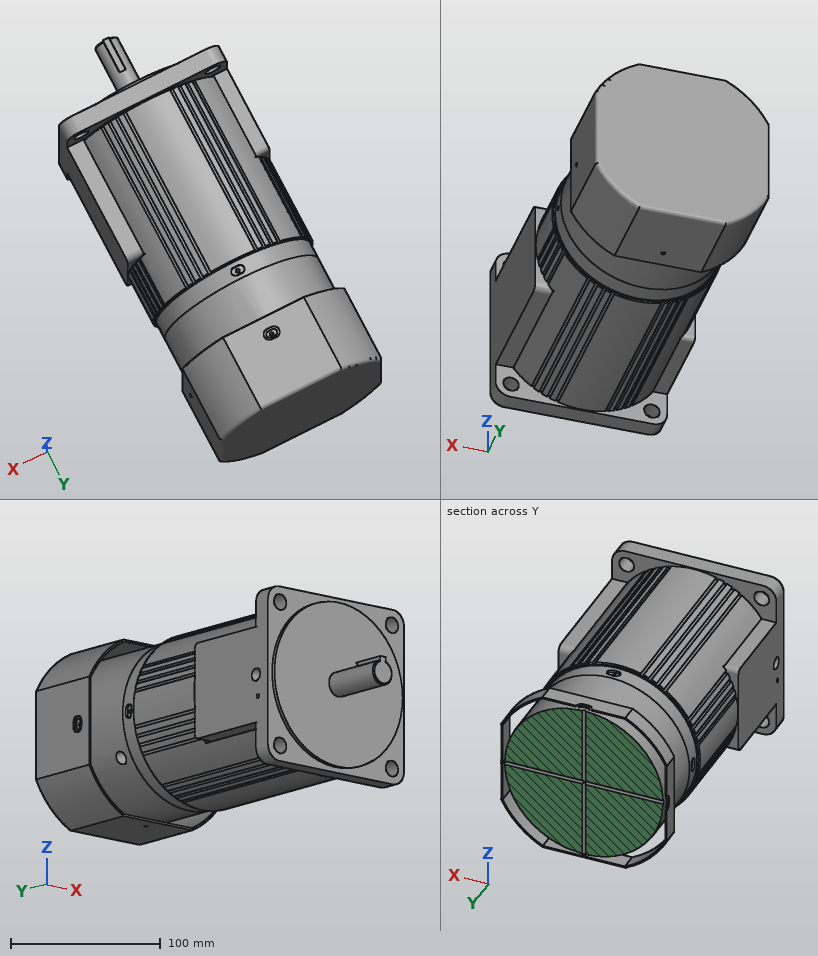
import cadquery as cq


overall_length = 286
shaft_length = 45.5
spigot_length = 2.5
flange_back = 15.0
barrel_back = 141.0
motor_back = 153.3
cover_front = 184.5
cover_back = overall_length - shaft_length

shaft_radius = 17.0 / 2
shaft_chamfer = 1.0
key_width = 4.5
key_length = 25.0
key_top = 11.0
key_end_undercut = 2.0

flange_width = 120
flange_corner_radius = 10.0
spigot_radius = 113.0 / 2
bolt_hole_pitch = 98.7
bolt_hole_diameter = 11.0

barrel_radius = flange_width / 2
barrel_chamfer = 1.0
barrel_gap = 1.0
body_radius = 58.0
groove_radius = 1.0
grooves_per_group = 4
groove_step = 6
first_groove_from_x = 12
first_groove_from_z = 17

left_box_back = 77.2
left_box_height = 65.8
left_box_corner_radius = 3.1
right_box_back = 103.2
right_box_height = 70.4
right_box_corner_radius = 5.0
cable_hole_diameter = 8.5
side_hole_depth = 8.5
earth_hole_y = 13.0
earth_hole_z = -15.2
earth_hole_diameter = 2.5

screw_hole_diameter = 2.5
motor_screw_y = 147.3
motor_slot_length = 9.5
motor_slot_width = 5.7
motor_slot_depth = 1.7
cover_screw_y = 196.8
cover_slot_length = 7.7
cover_slot_width = 4.5
cover_recess_length = 11.2
cover_recess_width = 7.7
cover_recess_depth = 0.72

lead_hole_y = 163.3
lead_hole_angle = 29
lead_hole_diameter = 9.2
lead_hole_depth = 20

cover_width = 121.5
cover_round_radius = 135.8 / 2
cover_fillet = 2.5
cover_wall = 1.5


def cylinder(radius, front, back):
    """Cylinder on the Y axis between two Y positions."""
    return cq.Workplane("XZ", origin=(0, front, 0)).circle(radius).extrude(front - back)


def square_bar(width, front, back):
    """Square bar centred on the Y axis between two Y positions."""
    return cq.Workplane("XZ", origin=(0, front, 0)).rect(width, width).extrude(front - back)


def top_slot(y, length, width, floor):
    """Obround cutter that reaches from floor up through the top; its length runs along X."""
    return cq.Workplane("XY", origin=(0, y, floor)).slot2D(length, width).extrude(cover_width)


def side_slot(y, length, width, floor):
    """The top slot cutter turned to the -X side; its length runs along Z."""
    return top_slot(y, length, width, floor).rotate((0, 0, 0), (0, 1, 0), -90)


def screw_bore_x(y):
    """Screw hole cutter through both sides along X."""
    bore = cq.Workplane("YZ", origin=(0, y, 0)).circle(screw_hole_diameter / 2)
    return bore.extrude(cover_width, both=True)


def screw_bore_z(y):
    """Screw hole cutter from the axis up through the top."""
    return cq.Workplane("XY", origin=(0, y, 0)).circle(screw_hole_diameter / 2).extrude(cover_width)


def make_shaft():
    """Output shaft with its key, whose inner end slopes back under the top."""
    shaft = cylinder(shaft_radius, -shaft_length, spigot_length)
    shaft = shaft.faces("<Y").chamfer(shaft_chamfer)
    key_back = key_length - shaft_length
    key = (
        cq.Workplane("YZ")
        .moveTo(-shaft_length, 0)
        .lineTo(-shaft_length, key_top)
        .lineTo(key_back, key_top)
        .lineTo(key_back - key_end_undercut, shaft_radius)
        .lineTo(key_back - key_end_undercut, 0)
        .close()
        .extrude(key_width / 2, both=True)
    )
    return shaft.union(key)


def make_flange():
    flange = square_bar(flange_width, spigot_length, flange_back).edges("|Y").fillet(flange_corner_radius)
    holes = (
        cq.Workplane("XZ")
        .rect(bolt_hole_pitch, bolt_hole_pitch, forConstruction=True)
        .vertices()
        .circle(bolt_hole_diameter / 2)
        .extrude(-flange_back)
    )
    return flange.cut(holes).union(cylinder(spigot_radius, 0, spigot_length))


def groove_angles():
    """Groove directions in degrees from +X, mirrored into all four quadrants."""
    angles = []
    for number in range(grooves_per_group):
        from_x = first_groove_from_x + number * groove_step
        from_z = first_groove_from_z + number * groove_step
        for angle in (from_x, 90 - from_z):
            angles += [angle, 180 - angle, 180 + angle, -angle]
    return angles


def box_opening(side, back, height):
    """Cutter for the sharp-cornered barrel opening, one gap wider than a terminal box."""
    length = back + barrel_gap - flange_back
    opening = cq.Workplane("XY").box(barrel_radius, length, height + 2 * barrel_gap)
    return opening.translate((side * barrel_radius, flange_back + length / 2, 0))


def make_barrel():
    barrel = cylinder(barrel_radius, flange_back + barrel_gap, barrel_back)
    barrel = barrel.faces(">Y").chamfer(barrel_chamfer)
    groove = cylinder(groove_radius, flange_back, barrel_back).translate((barrel_radius, 0, 0))
    for angle in groove_angles():
        barrel = barrel.cut(groove.rotate((0, 0, 0), (0, 1, 0), angle))
    barrel = barrel.cut(box_opening(-1, left_box_back, left_box_height))
    return barrel.cut(box_opening(1, right_box_back, right_box_height))


def make_terminal_box(side, back, height, corner_radius):
    """Box from the axis out to the flange side; side is -1 for -X and +1 for +X."""
    length = back - spigot_length
    box = (
        cq.Workplane("XY")
        .box(flange_width / 2, length, height)
        .translate((side * flange_width / 4, back - length / 2, 0))
    )
    return box.faces(">Y").edges("|X").fillet(corner_radius)


def make_motor():
    motor = make_barrel().union(cylinder(body_radius, flange_back, motor_back))
    motor = motor.union(make_terminal_box(-1, left_box_back, left_box_height, left_box_corner_radius))
    motor = motor.union(make_terminal_box(1, right_box_back, right_box_height, right_box_corner_radius))
    motor = motor.union(make_flange()).union(make_shaft())

    box_side = cq.Workplane("YZ", origin=(-flange_width / 2, 0, 0))
    cable_hole = box_side.moveTo(flange_back, 0).circle(cable_hole_diameter / 2)
    motor = motor.cut(cable_hole.extrude(side_hole_depth))
    earth_hole = box_side.moveTo(earth_hole_y, earth_hole_z).circle(earth_hole_diameter / 2)
    motor = motor.cut(earth_hole.extrude(side_hole_depth))

    slot_floor = body_radius - motor_slot_depth
    for slot in (top_slot, side_slot):
        motor = motor.cut(slot(motor_screw_y, motor_slot_length, motor_slot_width, slot_floor))
    return motor.cut(screw_bore_x(motor_screw_y)).cut(screw_bore_z(motor_screw_y))


def cut_cover_screw_bores(body):
    """Cut the crossing screw holes that pass through the cover and the end bell."""
    upright = screw_bore_z(cover_screw_y)
    return body.cut(screw_bore_x(cover_screw_y)).cut(upright).cut(upright.mirror("XY"))


def make_end_bell():
    bell = cylinder(body_radius, motor_back, cover_back - cover_wall)
    lead_hole = (
        cq.Workplane("YZ", origin=(lead_hole_depth - body_radius, lead_hole_y, 0))
        .circle(lead_hole_diameter / 2)
        .extrude(-body_radius)
        .rotate((0, 0, 0), (0, 1, 0), -lead_hole_angle)
    )
    return cut_cover_screw_bores(bell.cut(lead_hole))


def rounded_square_bar(inset, back):
    """Bar with the cover's outline, a square cut by a circle, moved inwards by inset."""
    bar = square_bar(cover_width - 2 * inset, cover_front, back)
    return bar.intersect(cylinder(cover_round_radius - inset, cover_front, back))


def make_cover():
    cover = rounded_square_bar(0, cover_back).faces(">Y").edges().fillet(cover_fillet)
    cover = cover.cut(rounded_square_bar(cover_wall, cover_back - cover_wall))
    recess_floor = cover_width / 2 - cover_recess_depth
    for slot in (top_slot, side_slot):
        cover = cover.cut(slot(cover_screw_y, cover_recess_length, cover_recess_width, recess_floor))
        cover = cover.cut(slot(cover_screw_y, cover_slot_length, cover_slot_width, 0))
    return cut_cover_screw_bores(cover)


motor = make_motor()
end_bell = make_end_bell()
cover = make_cover()

result = cq.Compound.makeCompound([motor.solids().val(), end_bell.solids().val(), cover.solids().val()])